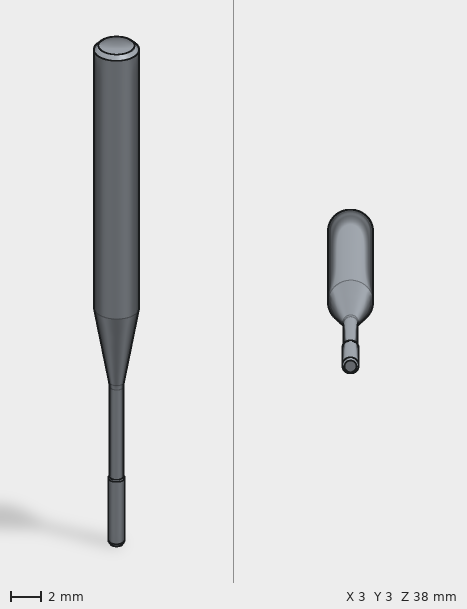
import cadquery as cq
import math

total_length = 38.0
shank_diameter = 3.0
neck_diameter = 0.95
cutter_diameter = 1.1

shank_length = 20.0
shank_chamfer = 0.3
neck_top = 12.0
neck_blend_radius = 2.0
cutter_length = 5.0
shoulder_height = 0.1
tip_chamfer_height = 0.25
tip_chamfer_width = 0.15

shank_radius = shank_diameter / 2
neck_radius = neck_diameter / 2
cutter_radius = cutter_diameter / 2
shank_bottom = total_length - shank_length

blend_center_radius = neck_radius + neck_blend_radius
center_to_taper_top = (shank_radius - blend_center_radius, shank_bottom - neck_top)
center_distance = math.hypot(*center_to_taper_top)
center_direction = math.atan2(center_to_taper_top[1], center_to_taper_top[0])
tangent_direction = center_direction + math.acos(neck_blend_radius / center_distance)
blend_angle = math.pi - tangent_direction


def blend_point(angle):
    """Point on the blend arc, at an angle measured up from the neck."""
    return (
        blend_center_radius - neck_blend_radius * math.cos(angle),
        neck_top + neck_blend_radius * math.sin(angle),
    )


def make_holder():
    """Chamfered shank, long taper blended into a slender neck, and end shoulder."""
    profile = (
        cq.Workplane("XZ")
        .moveTo(0, cutter_length)
        .lineTo(cutter_radius, cutter_length)
        .lineTo(neck_radius, cutter_length + shoulder_height)
        .lineTo(neck_radius, neck_top)
        .threePointArc(blend_point(blend_angle / 2), blend_point(blend_angle))
        .lineTo(shank_radius, shank_bottom)
        .lineTo(shank_radius, total_length - shank_chamfer)
        .lineTo(shank_radius - shank_chamfer, total_length)
        .lineTo(0, total_length)
        .close()
    )
    return profile.revolve(360, (0, 0), (0, 1))


def make_cutter():
    """Cylindrical cutting end with a steep tip chamfer, butted against the neck."""
    profile = (
        cq.Workplane("XZ")
        .moveTo(0, 0)
        .lineTo(cutter_radius - tip_chamfer_width, 0)
        .lineTo(cutter_radius, tip_chamfer_height)
        .lineTo(cutter_radius, cutter_length)
        .lineTo(0, cutter_length)
        .close()
    )
    return profile.revolve(360, (0, 0), (0, 1))


holder = make_holder()
cutter = make_cutter()
result = cq.Compound.makeCompound([holder.val(), cutter.val()])